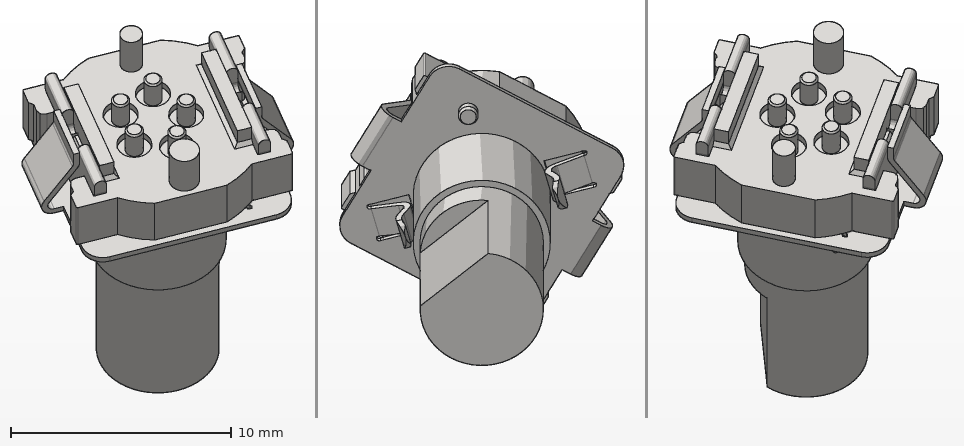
import cadquery as cq
import math

TOTAL_HEIGHT = 17.3
SHEET = 0.3
PLATE_BOTTOM = 12.5
PLATE_TOP = PLATE_BOTTOM + SHEET
BLOCK_TOP = 15.3
BAR_TOP = 16.31
RAIL_TOP = 16.26
TAB_TOP = 16.15
SLEEVE_BOTTOM = 7.34
FLAT_TOP = 5.85

SLEEVE_RADIUS = 3.11
BARREL_RADIUS = 2.8
FLAT_DISTANCE = 1.94
FLAT_ANGLE = 110

PLATE_HALF = 10.0 / 2
PLATE_CORNER = 1.0

BLOCK_HALF_WIDTH = 4.69
BLOCK_RADIUS = PLATE_HALF
NECK_HALF_WIDTH = 3.82
LUG_Y = 5.19
LUG_CHAMFER_OUT = 3.0
LUG_CHAMFER_IN = 2.8
LUG_CORNER = 0.07
RECESS_HALF_WIDTH = 2.08
LIP_BEVEL_START = 2.42
LIP_BEVEL_END = 2.2
LIP_BEVEL_DEPTH = 0.09
LIP_DEPTH = 0.4

BAR_OUTER_Y = 4.22
BAR_THICKNESS = 0.57
BAR_INNER_Y = BAR_OUTER_Y - BAR_THICKNESS
BAR_HALF_WIDTH = 3.5
BAR_END_ROUND = 0.2
RAIL_INNER_Y = 2.95
RAIL_HALF_WIDTH = 2.53
RAIL_FOOT = 0.19
NOTCH_HALF_WIDTH = 1.12
SLOT_HALF_WIDTH = 0.52
SLOT_LEDGE = 0.15
LEVER_WIDTH = 2.8
LEVER_REACH = 12.1 / 2
LEVER_BEND = 0.6
TAB_BEND = 0.3
LEVER_ANGLE = math.radians(36)

PIN_X = 3.75
SMALL_PIN_RADIUS = 0.52
LARGE_PIN_RADIUS = 0.7
CONTACT_POINTS = [(0, 1.37), (1.7, 0.35), (-1.7, 0.35), (0.97, -1.45), (-0.97, -1.45)]
CONTACT_RADIUS = 0.42
CONTACT_CHAMFER = 0.09
WELL_RADIUS = 0.8
WELL_DEPTH = 0.36

PEG_X = 3.32
PEG_Y = 2.6
PEG_RADIUS = 0.45
PEG_LENGTH = 0.54
PEG_TIP_HEIGHT = 0.17
PEG_TIP_INSET = 0.09

TONGUE_HALF_WIDTH = 0.71
TONGUE_ROOT = 5.02
TONGUE_TIP_Z = 10.09
TONGUE_TIP_CORNER_Z = 10.47
RELIEF_WIDTH = 0.22
RELIEF_END = 5.17
WINDOW_CLEARANCE = 0.07
WINDOW_INNER = SLEEVE_RADIUS + WINDOW_CLEARANCE

OUTER_BEND_START = (3.74, 12.13)
OUTER_BEND_MIDDLE = (3.51, 11.95)
OUTER_BEND_END = (3.48, 11.73)
OUTER_CURL_START = (3.75, 11.18)
OUTER_CURL_MIDDLE = (3.85, 10.71)
OUTER_TIP = (3.6, TONGUE_TIP_Z)
INNER_TIP = (3.46, 10.25)
INNER_CURL_MIDDLE = (3.58, 10.65)
INNER_CURL_END = (3.48, 11.04)
INNER_BEND_START = (3.18, 11.63)
INNER_BEND_MIDDLE = (3.27, 12.16)
INNER_BEND_END = (3.62, 12.4)


def cylinder(radius, z_low, z_high, x=0, y=0):
    return cq.Workplane("XY", origin=(x, y, z_low)).circle(radius).extrude(z_high - z_low)


def box(x_low, x_high, y_low, y_high, z_low, z_high):
    size = (x_high - x_low, y_high - y_low, z_high - z_low)
    return cq.Workplane("XY", origin=(x_low, y_low, z_low)).box(*size, centered=False)


def along_x(outline, half_width):
    """Extrude a closed YZ outline to both sides of x = 0."""
    return outline.extrude(half_width, both=True)


def turned(shape, angle):
    return shape.rotate((0, 0, 0), (0, 0, 1), angle)


def make_cable_end():
    sleeve = cylinder(SLEEVE_RADIUS, SLEEVE_BOTTOM, PLATE_TOP)
    barrel = cylinder(BARREL_RADIUS, 0, SLEEVE_BOTTOM)
    key = box(FLAT_DISTANCE, 2 * BARREL_RADIUS, -BARREL_RADIUS, BARREL_RADIUS, 0, FLAT_TOP)
    return sleeve.union(barrel.cut(turned(key, FLAT_ANGLE)))


def make_plate():
    plate = box(-PLATE_HALF, PLATE_HALF, -PLATE_HALF, PLATE_HALF, PLATE_BOTTOM, PLATE_TOP)
    return plate.edges("|Z").fillet(PLATE_CORNER)


def make_block():
    height = BLOCK_TOP - PLATE_TOP
    base = cq.Workplane("XY", origin=(0, 0, PLATE_TOP))
    round_body = base.circle(BLOCK_RADIUS).extrude(height)
    round_body = round_body.intersect(
        box(-BLOCK_HALF_WIDTH, BLOCK_HALF_WIDTH, -PLATE_HALF, PLATE_HALF, PLATE_TOP, BLOCK_TOP)
    )
    neck = (
        base.rect(2 * NECK_HALF_WIDTH, 2 * LUG_Y)
        .extrude(height)
        .edges("|Z")
        .fillet(LUG_CORNER)
    )
    block = round_body.union(neck)
    for side in (1, -1):
        end_gap = (
            base.moveTo(-LUG_CHAMFER_OUT, side * LUG_Y)
            .lineTo(-LUG_CHAMFER_IN, side * PLATE_HALF)
            .lineTo(LUG_CHAMFER_IN, side * PLATE_HALF)
            .lineTo(LUG_CHAMFER_OUT, side * LUG_Y)
            .close()
            .extrude(height)
        )
        half_recess = (
            base.moveTo(0, side * BAR_OUTER_Y)
            .lineTo(RECESS_HALF_WIDTH, side * BAR_OUTER_Y)
            .lineTo(RECESS_HALF_WIDTH, side * (PLATE_HALF - LIP_DEPTH))
            .tangentArcPoint((LIP_BEVEL_END, side * (PLATE_HALF - LIP_BEVEL_DEPTH)), relative=False)
            .lineTo(LIP_BEVEL_START, side * PLATE_HALF)
            .lineTo(0, side * PLATE_HALF)
            .close()
            .extrude(height)
        )
        recess = half_recess.union(half_recess.mirror("YZ"))
        block = block.cut(end_gap).cut(recess)
    return block


def make_bar():
    """Round-topped bar with a notch in its middle."""
    crown = BAR_THICKNESS / 2
    middle_y = BAR_OUTER_Y - crown
    outline = (
        cq.Workplane("YZ")
        .moveTo(BAR_INNER_Y, BLOCK_TOP)
        .lineTo(BAR_INNER_Y, BAR_TOP - crown)
        .threePointArc((middle_y, BAR_TOP), (BAR_OUTER_Y, BAR_TOP - crown))
        .lineTo(BAR_OUTER_Y, BLOCK_TOP)
        .close()
    )
    bar = along_x(outline, BAR_HALF_WIDTH)
    bar = bar.edges("|Y and <Z").fillet(BAR_END_ROUND)
    notch = box(-NOTCH_HALF_WIDTH, NOTCH_HALF_WIDTH, BAR_INNER_Y, BAR_OUTER_Y, BLOCK_TOP, BAR_TOP)
    return bar.cut(notch)


def make_notch_floor_cut():
    """Cut in the block under the bar notch: two round grooves with a slot between them.

    The slot has a small ledge, then a floor sloping down outward like the lever.
    """
    ledge_y = BAR_INNER_Y + SLOT_LEDGE
    ledge_z = BLOCK_TOP - SLOT_LEDGE
    drop = (BAR_OUTER_Y - ledge_y) / math.tan(LEVER_ANGLE)
    outline = (
        cq.Workplane("YZ")
        .moveTo(BAR_INNER_Y, BLOCK_TOP)
        .lineTo(BAR_OUTER_Y, BLOCK_TOP)
        .lineTo(BAR_OUTER_Y, ledge_z - drop)
        .lineTo(ledge_y, ledge_z)
        .lineTo(BAR_INNER_Y, ledge_z)
        .close()
    )
    floor_cut = along_x(outline, SLOT_HALF_WIDTH)
    groove_radius = (NOTCH_HALF_WIDTH - SLOT_HALF_WIDTH) / 2
    groove_x = (NOTCH_HALF_WIDTH + SLOT_HALF_WIDTH) / 2
    for side in (1, -1):
        groove = (
            cq.Workplane("XZ", origin=(side * groove_x, BAR_OUTER_Y, BLOCK_TOP))
            .circle(groove_radius)
            .extrude(BAR_THICKNESS)
        )
        floor_cut = floor_cut.union(groove)
    return floor_cut


def make_rail():
    rail = box(-RAIL_HALF_WIDTH, RAIL_HALF_WIDTH, RAIL_INNER_Y, BAR_INNER_Y, BLOCK_TOP, RAIL_TOP)
    foot_depth = BAR_INNER_Y - RAIL_INNER_Y
    foot = (
        cq.Workplane("XY", origin=(0, BAR_INNER_Y, BLOCK_TOP))
        .rect(2 * (RAIL_HALF_WIDTH + RAIL_FOOT), 2 * (foot_depth + RAIL_FOOT))
        .workplane(offset=RAIL_FOOT)
        .rect(2 * RAIL_HALF_WIDTH, 2 * foot_depth)
        .loft(ruled=True)
    )
    inner_half = box(-PLATE_HALF, PLATE_HALF, 0, BAR_INNER_Y, BLOCK_TOP, RAIL_TOP)
    return rail.union(foot.intersect(inner_half))


def make_lever():
    """Sheet strip: out from the plate, round a bend, up and inward to an upright tab."""
    bend_y = LEVER_REACH - LEVER_BEND
    bend_z = PLATE_BOTTOM + LEVER_BEND
    out_y = math.cos(LEVER_ANGLE)
    out_z = math.sin(LEVER_ANGLE)
    tab_outer_y = BAR_OUTER_Y + SHEET

    def bend_point(radius, angle):
        return (bend_y + radius * math.cos(angle), bend_z + radius * math.sin(angle))

    def height_on_lever(radius, y):
        """Height of the sloping face, tangent to the bend of this radius, at y."""
        return bend_z + (radius - (y - bend_y) * out_y) / out_z

    inner_bend = LEVER_BEND - SHEET
    middle_angle = (LEVER_ANGLE - math.pi / 2) / 2
    outline = (
        cq.Workplane("YZ")
        .moveTo(PLATE_HALF - SHEET, PLATE_BOTTOM)
        .lineTo(bend_y, PLATE_BOTTOM)
        .threePointArc(bend_point(LEVER_BEND, middle_angle), bend_point(LEVER_BEND, LEVER_ANGLE))
        .lineTo(tab_outer_y, height_on_lever(LEVER_BEND, tab_outer_y))
        .lineTo(tab_outer_y, TAB_TOP)
        .lineTo(BAR_OUTER_Y, TAB_TOP)
        .lineTo(BAR_OUTER_Y, height_on_lever(inner_bend, BAR_OUTER_Y))
        .lineTo(*bend_point(inner_bend, LEVER_ANGLE))
        .threePointArc(bend_point(inner_bend, middle_angle), (bend_y, PLATE_TOP))
        .lineTo(PLATE_HALF - SHEET, PLATE_TOP)
        .close()
    )
    lever = along_x(outline, LEVER_WIDTH / 2)
    outer_corner = (0, tab_outer_y, height_on_lever(LEVER_BEND, tab_outer_y))
    inner_corner = (0, BAR_OUTER_Y, height_on_lever(inner_bend, BAR_OUTER_Y))
    lever = lever.edges(cq.NearestToPointSelector(outer_corner)).fillet(TAB_BEND)
    return lever.edges(cq.NearestToPointSelector(inner_corner)).fillet(TAB_BEND + SHEET)


def make_peg(x, y):
    tip_start = PLATE_BOTTOM - PEG_LENGTH + PEG_TIP_HEIGHT
    shank = cylinder(PEG_RADIUS, tip_start, PLATE_BOTTOM, x, y)
    tip = (
        cq.Workplane("XY", origin=(x, y, tip_start))
        .circle(PEG_RADIUS)
        .workplane(offset=-PEG_TIP_HEIGHT)
        .circle(PEG_RADIUS - PEG_TIP_INSET)
        .loft()
    )
    return shank.union(tip)


def make_window():
    """Opening left in the plate by a tongue, with a relief slit on each side of its root."""
    half_width = TONGUE_HALF_WIDTH + RELIEF_WIDTH
    window = box(WINDOW_INNER, TONGUE_ROOT, -half_width, half_width, PLATE_BOTTOM, PLATE_TOP)
    relief_radius = RELIEF_WIDTH / 2
    relief_y = TONGUE_HALF_WIDTH + relief_radius
    for side in (1, -1):
        end = cylinder(relief_radius, PLATE_BOTTOM, PLATE_TOP, RELIEF_END - relief_radius, side * relief_y)
        window = window.union(end)
    return window


def make_tongue():
    """Tongue reaching inward along +X, then bent down and curled at its tip."""
    profile = (
        cq.Workplane("XZ")
        .moveTo(TONGUE_ROOT, PLATE_BOTTOM)
        .lineTo(*OUTER_BEND_START)
        .threePointArc(OUTER_BEND_MIDDLE, OUTER_BEND_END)
        .lineTo(*OUTER_CURL_START)
        .threePointArc(OUTER_CURL_MIDDLE, OUTER_TIP)
        .lineTo(*INNER_TIP)
        .threePointArc(INNER_CURL_MIDDLE, INNER_CURL_END)
        .lineTo(*INNER_BEND_START)
        .threePointArc(INNER_BEND_MIDDLE, INNER_BEND_END)
        .lineTo(TONGUE_ROOT, PLATE_TOP)
        .close()
        .extrude(TONGUE_HALF_WIDTH, both=True)
    )
    rounded_end = (
        cq.Workplane("YZ")
        .moveTo(-TONGUE_HALF_WIDTH, PLATE_TOP)
        .lineTo(-TONGUE_HALF_WIDTH, TONGUE_TIP_CORNER_Z)
        .threePointArc((0, TONGUE_TIP_Z), (TONGUE_HALF_WIDTH, TONGUE_TIP_CORNER_Z))
        .lineTo(TONGUE_HALF_WIDTH, PLATE_TOP)
        .close()
        .extrude(TONGUE_ROOT)
    )
    return profile.intersect(rounded_end)


plate = make_plate()
for angle in (45, 225):
    plate = plate.cut(turned(make_window(), angle))
    plate = plate.union(turned(make_tongue(), angle))

body = plate.union(make_cable_end()).union(make_block())

for angle in (0, 180):
    body = body.cut(turned(make_notch_floor_cut(), angle))
    for latch_part in (make_bar(), make_rail(), make_lever()):
        body = body.union(turned(latch_part, angle))

body = body.union(cylinder(SMALL_PIN_RADIUS, BLOCK_TOP, TOTAL_HEIGHT, -PIN_X))
body = body.union(cylinder(LARGE_PIN_RADIUS, BLOCK_TOP, TOTAL_HEIGHT, PIN_X))

well_floor = BLOCK_TOP - WELL_DEPTH
for x, y in CONTACT_POINTS:
    contact = cylinder(CONTACT_RADIUS, well_floor, BAR_TOP, x, y)
    contact = contact.faces(">Z").chamfer(CONTACT_CHAMFER)
    body = body.cut(cylinder(WELL_RADIUS, well_floor, BLOCK_TOP, x, y)).union(contact)

for side in (1, -1):
    body = body.union(make_peg(side * PEG_X, -side * PEG_Y))

result = body